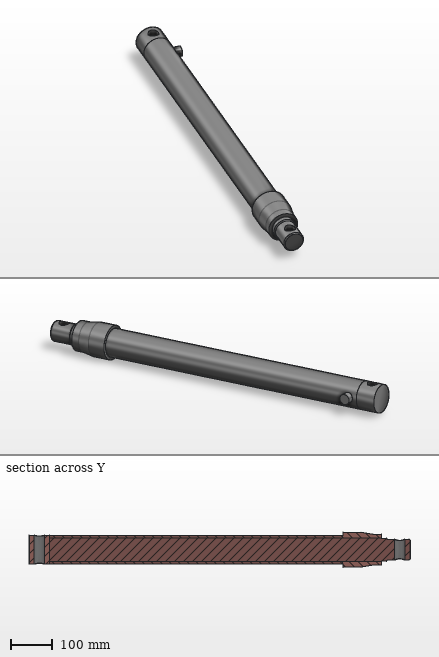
import cadquery as cq

total_length = 910.0
base_length = 49.0
gland_start = 749.0
taper_start = 793.0
taper_end = 823.0
gland_end = 842.0
shoulder_end = 853.0

tube_radius = 70.0 / 2
gland_radius = 85.0 / 2
gland_nose_radius = 37.0
shaft_radius = 28.0
rod_end_radius = 25.5

shoulder_chamfer = shaft_radius - rod_end_radius
tip_chamfer = 3.0

pin_hole_radius = 13.0
base_hole_x = base_length / 2
rod_hole_x = 884.5

port_x = 73.0
port_radius = 13.0
overall_width = 93.0
port_face_y = overall_width - gland_radius


def cylinder_x(start, end, radius):
    """Solid cylinder along X between two positions."""
    return cq.Workplane("YZ", origin=(start, 0, 0)).circle(radius).extrude(end - start)


def cylinder_y(x, end, radius):
    """Solid cylinder along +Y from the cylinder axis to the given Y."""
    return cq.Workplane("XZ", origin=(x, 0, 0)).circle(radius).extrude(-end)


def revolve_x(profile):
    """Turn a closed (x, radius) profile around the X axis."""
    return cq.Workplane("XY").polyline(profile).close().revolve(360, (0, 0, 0), (1, 0, 0))


def pin_hole(x):
    """Cutter for a vertical through hole."""
    height = 2 * gland_radius
    return cq.Workplane("XY", origin=(x, 0, -height / 2)).circle(pin_hole_radius).extrude(height)


def make_base():
    """Solid end plug with a pin hole."""
    return cylinder_x(0, base_length, tube_radius).cut(pin_hole(base_hole_x))


def make_tube():
    """Barrel running from the base to the gland, bored to fit the rod."""
    barrel = cylinder_x(base_length, gland_start, tube_radius)
    bore = cylinder_x(base_length, gland_start, shaft_radius)
    return barrel.cut(bore)


def make_port():
    """Round boss seated on the curved outside of the tube."""
    boss = cylinder_y(port_x, port_face_y, port_radius)
    tube_outside = cylinder_x(0, gland_start, tube_radius)
    return boss.cut(tube_outside)


def make_gland():
    """Tapered head butted against the tube, with a bore that guides the rod."""
    return revolve_x([
        (gland_start, shaft_radius),
        (gland_start, gland_radius),
        (taper_start, gland_radius),
        (taper_end, gland_nose_radius),
        (gland_end, gland_nose_radius),
        (gland_end, shaft_radius),
    ])


def make_rod():
    """Retracted shaft, resting on the base, that steps down to a chamfered end with a pin hole."""
    rod = revolve_x([
        (base_length, 0),
        (base_length, shaft_radius),
        (shoulder_end, shaft_radius),
        (shoulder_end + shoulder_chamfer, rod_end_radius),
        (total_length - tip_chamfer, rod_end_radius),
        (total_length, rod_end_radius - tip_chamfer),
        (total_length, 0),
    ])
    return rod.cut(pin_hole(rod_hole_x))


base = make_base()
tube = make_tube()
port = make_port()
gland = make_gland()
rod = make_rod()

result = cq.Compound.makeCompound([
    base.val(),
    tube.val(),
    port.val(),
    gland.val(),
    rod.val(),
])